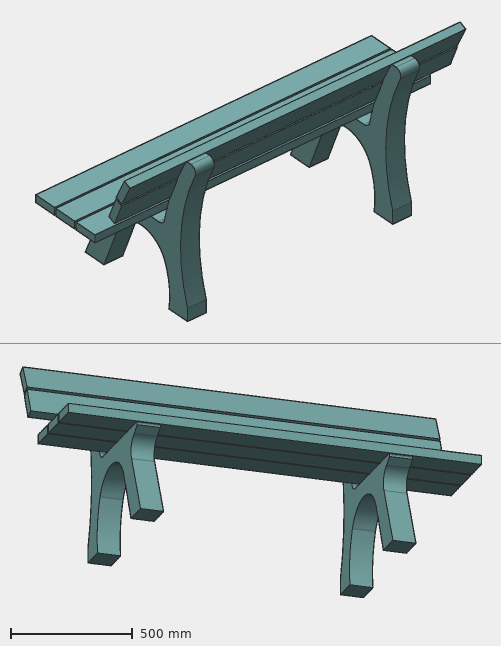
import cadquery as cq
import math

bench_length = 1800.0
board_width = 120.0
board_thickness = 40.0
seat_board_count = 3
seat_board_gap = 9.0

frame_width = 100.0
frame_spacing = 1100.0
foot_length = 120.0

seat_front = 41.0
seat_height = 401.0
nose_radius = 7.0
nose_height = 16.0

knee_start = (77.0, 360.0)
knee_middle = (119.0, 306.0)
knee_end = (112.0, 261.0)

arch_center = (360.0, 162.0)
arch_radius = 164.0
arch_front_angle = 156
arch_rear_angle = 27
rear_leg_inner_middle = (542.0, 81.0)

rear_foot_back = 657.0
rear_foot_height = 67.0
post_waist = (612.0, 360.0)
post_back_end = (705.0, 752.0)
post_corner = (704.0, 783.0)
post_top_back = (679.0, 797.0)
post_top_front = 657.0
post_tip_middle = (650.0, 795.0)
post_front_start = (645.0, 787.0)
post_front_middle = (547.0, 570.0)
post_front_end = (510.0, 430.0)
post_seat_round_middle = (495.0, 409.0)
post_seat_round_end = 472.0

lower_back_corner = (511.0, 580.0)
lower_back_lean = 68
upper_back_corner = (558.0, 702.0)
upper_back_lean = 64


def arch_point(angle):
    """Point on the crown of the arch, angle in degrees from +X."""
    turn = math.radians(angle)
    return (
        arch_center[0] + arch_radius * math.cos(turn),
        arch_center[1] + arch_radius * math.sin(turn),
    )


def along_y(outline, width, middle):
    """Extrude an XZ outline to a width centred on Y = middle."""
    return outline.extrude(width / 2, both=True).translate((0, middle, 0))


def side_frame(middle):
    outline = (
        cq.Workplane("XZ")
        .moveTo(0, 0)
        .lineTo(foot_length, 0)
        .lineTo(*arch_point(arch_front_angle))
        .threePointArc(arch_point(90), arch_point(arch_rear_angle))
        .threePointArc(rear_leg_inner_middle, (rear_foot_back - foot_length, 0))
        .lineTo(rear_foot_back, 0)
        .lineTo(rear_foot_back, rear_foot_height)
        .threePointArc(post_waist, post_back_end)
        .threePointArc(post_corner, post_top_back)
        .lineTo(post_top_front, post_top_back[1])
        .threePointArc(post_tip_middle, post_front_start)
        .threePointArc(post_front_middle, post_front_end)
        .threePointArc(post_seat_round_middle, (post_seat_round_end, seat_height))
        .lineTo(seat_front + nose_radius, seat_height)
        .radiusArc((seat_front, seat_height - nose_radius), -nose_radius)
        .lineTo(seat_front, seat_height - nose_height)
        .lineTo(*knee_start)
        .threePointArc(knee_middle, knee_end)
        .close()
    )
    return along_y(outline, frame_width, middle)


def board(corner, lean):
    """Full-length board rising from its lower front corner at a lean in degrees."""
    section = cq.Workplane("XZ").rect(board_width, -board_thickness, centered=False)
    flat = along_y(section, bench_length, 0)
    return flat.rotate((0, 0, 0), (0, 1, 0), -lean).translate((corner[0], 0, corner[1]))


result = side_frame(-frame_spacing / 2).union(side_frame(frame_spacing / 2))

for index in range(seat_board_count):
    board_start = seat_front + index * (board_width + seat_board_gap)
    result = result.union(board((board_start, seat_height + board_thickness), 0))

result = result.union(board(lower_back_corner, lower_back_lean))
result = result.union(board(upper_back_corner, upper_back_lean))